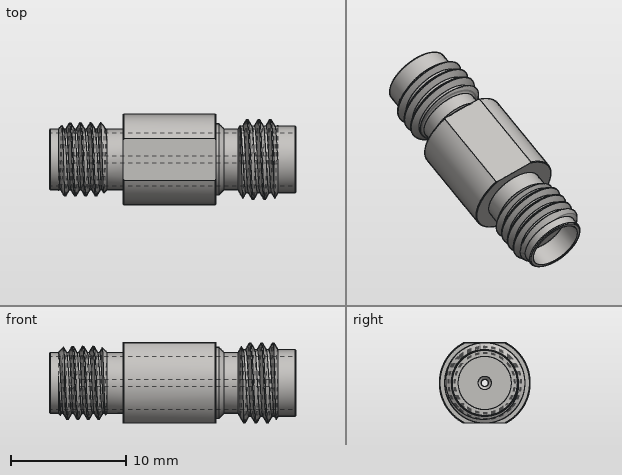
import cadquery as cq
import math

LENGTH = 21.4

GRIP_START = 6.4
GRIP_END = 14.45
GRIP_RADIUS = 7.9 / 2
FLATS_WIDTH = 7.0
GRIP_CHAMFER = 0.06

NECK_RADIUS = 2.65
BARREL_END_RADIUS = 2.9
END_CHAMFER = 0.09
COLLAR_RADIUS = 3.1
COLLAR_END = 14.7
COLLAR_TAPER_END = 15.15

HOUSING_THREAD_START = 0.77
HOUSING_THREAD_END = 4.99
HOUSING_CREST_RADIUS = 3.19
HOUSING_PITCH = 0.9
HOUSING_TOP_CREST = 2.01
HOUSING_RUNOUT_ANGLE = 45.0

BARREL_THREAD_START = 16.37
BARREL_THREAD_END = 19.84
BARREL_CREST_RADIUS = 3.49
BARREL_PITCH = 1.0
BARREL_TOP_CREST = 18.43
BARREL_RUNOUT_ANGLE = 60.0

FLANK_ANGLE = 30.0
CREST_FLAT = 0.1
ROOT_OVERLAP = 0.06
PITCHES_BEYOND_END = 1.5

BORE_RADIUS = 2.31
SOCKET_DEPTH = 1.9
CORE_HOLE_RADIUS = 0.3
CORE_MOUTH_RADIUS = 0.58


def turned(profile):
    """Revolve (x, radius) points about the X axis."""
    return cq.Workplane("XY").polyline(profile).close().revolve(360, (0, 0, 0), (1, 0, 0))


def thread(start, end, root_radius, crest_radius, pitch, top_crest, runout_angle, start_radius):
    """Right-hand ridge, trimmed by a cone at each end; start_radius is where the first cone begins."""
    inner = root_radius - ROOT_OVERLAP
    crest_half = CREST_FLAT / 2
    inner_half = crest_half + (crest_radius - inner) * math.tan(math.radians(FLANK_ANGLE))

    margin = PITCHES_BEYOND_END * pitch
    bottom_crest = top_crest + pitch / 2
    turns_back = math.ceil((bottom_crest - start + margin) / pitch)
    helix_start = bottom_crest - turns_back * pitch
    helix_length = end + margin - helix_start
    helix = cq.Wire.makeHelix(pitch, helix_length, inner)
    ridge = (
        cq.Workplane("XZ")
        .polyline([
            (inner, -inner_half),
            (crest_radius, -crest_half),
            (crest_radius, crest_half),
            (inner, inner_half),
        ])
        .close()
        .sweep(cq.Workplane(obj=helix), isFrenet=True)
        .rotate((0, 0, 0), (0, 1, 0), 90)
        .translate((helix_start, 0, 0))
    )

    slope = math.tan(math.radians(runout_angle))
    envelope_radius = crest_radius + ROOT_OVERLAP
    envelope_bore = min(inner, start_radius) - ROOT_OVERLAP
    envelope = turned([
        (start, envelope_bore),
        (start, start_radius),
        (start + (envelope_radius - start_radius) / slope, envelope_radius),
        (end - (envelope_radius - root_radius) / slope, envelope_radius),
        (end, root_radius),
        (end, envelope_bore),
    ])
    return ridge.intersect(envelope)


def make_housing():
    shaft = turned([
        (0, BORE_RADIUS),
        (0, NECK_RADIUS - END_CHAMFER),
        (END_CHAMFER, NECK_RADIUS),
        (GRIP_START, NECK_RADIUS),
        (GRIP_START, GRIP_RADIUS - GRIP_CHAMFER),
        (GRIP_START + GRIP_CHAMFER, GRIP_RADIUS),
        (GRIP_END - GRIP_CHAMFER, GRIP_RADIUS),
        (GRIP_END, GRIP_RADIUS - GRIP_CHAMFER),
        (GRIP_END, BORE_RADIUS),
    ])
    flats = cq.Workplane("XY").box(2 * LENGTH, 4 * GRIP_RADIUS, FLATS_WIDTH)
    ridge = thread(
        HOUSING_THREAD_START, HOUSING_THREAD_END, NECK_RADIUS, HOUSING_CREST_RADIUS,
        HOUSING_PITCH, HOUSING_TOP_CREST, HOUSING_RUNOUT_ANGLE, NECK_RADIUS,
    )
    return shaft.intersect(flats).union(ridge)


def make_barrel():
    step_length = (BARREL_END_RADIUS - NECK_RADIUS) / math.tan(math.radians(BARREL_RUNOUT_ANGLE))
    shaft = turned([
        (GRIP_END, BORE_RADIUS),
        (GRIP_END, COLLAR_RADIUS),
        (COLLAR_END, COLLAR_RADIUS),
        (COLLAR_TAPER_END, NECK_RADIUS),
        (BARREL_THREAD_START, NECK_RADIUS),
        (BARREL_THREAD_START + step_length, BARREL_END_RADIUS),
        (LENGTH - END_CHAMFER, BARREL_END_RADIUS),
        (LENGTH, BARREL_END_RADIUS - END_CHAMFER),
        (LENGTH, BORE_RADIUS),
    ])
    ridge = thread(
        BARREL_THREAD_START, BARREL_THREAD_END, BARREL_END_RADIUS, BARREL_CREST_RADIUS,
        BARREL_PITCH, BARREL_TOP_CREST, BARREL_RUNOUT_ANGLE, NECK_RADIUS,
    )
    return shaft.union(ridge)


def make_core():
    """Core filling the bore between the two sockets, with a flared hole through it."""
    core_start = SOCKET_DEPTH
    core_end = LENGTH - SOCKET_DEPTH
    flare = CORE_MOUTH_RADIUS - CORE_HOLE_RADIUS
    return turned([
        (core_start, BORE_RADIUS),
        (core_end, BORE_RADIUS),
        (core_end, CORE_MOUTH_RADIUS),
        (core_end - flare, CORE_HOLE_RADIUS),
        (core_start + flare, CORE_HOLE_RADIUS),
        (core_start, CORE_MOUTH_RADIUS),
    ])


housing = make_housing()
barrel = make_barrel()
core = make_core()

result = cq.Compound.makeCompound([housing.solids().val(), barrel.solids().val(), core.val()])